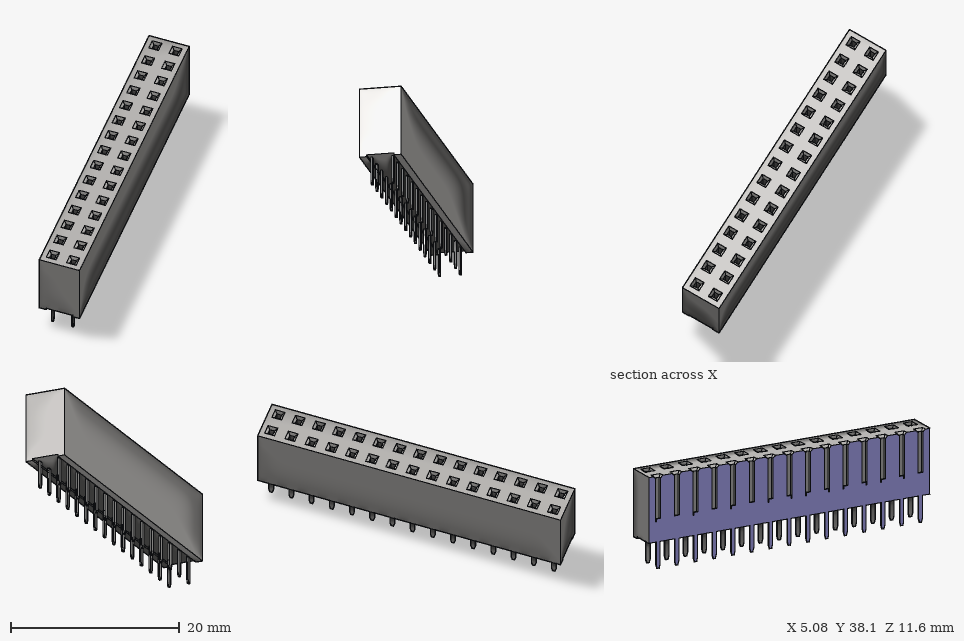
import cadquery as cq

ROWS = 15
COLUMNS = 2
LENGTH = 38.1
PITCH = LENGTH / ROWS

WIDTH = COLUMNS * PITCH
HOUSING_HEIGHT = 8.5
TOTAL_HEIGHT = 11.6

CHANNEL_WIDTH = 3.3
CHANNEL_DEPTH = 0.23

FUNNEL_MOUTH = 1.22
FUNNEL_DEPTH = 0.3
BORE_SIZE = 0.6
BORE_DEPTH = 5.7

PIN_THICKNESS = 0.2
PIN_WIDTH = 0.57
PIN_TIP_WIDTH = 0.3
PIN_TIP_LENGTH = 0.45
PIN_RISE_IN_BORE = 0.4


def make_housing():
    body = cq.Workplane("XY").rect(WIDTH, LENGTH).extrude(-HOUSING_HEIGHT)
    channel = (
        cq.Workplane("XY")
        .workplane(offset=-HOUSING_HEIGHT)
        .rect(CHANNEL_WIDTH, LENGTH)
        .extrude(CHANNEL_DEPTH)
    )
    return body.cut(channel)


def make_socket():
    funnel = (
        cq.Workplane("XY")
        .rect(FUNNEL_MOUTH, FUNNEL_MOUTH)
        .workplane(offset=-FUNNEL_DEPTH)
        .rect(BORE_SIZE, BORE_SIZE)
        .loft()
    )
    bore = cq.Workplane("XY").rect(BORE_SIZE, BORE_SIZE).extrude(-BORE_DEPTH)
    return funnel.union(bore)


def make_pin():
    half_width = PIN_WIDTH / 2
    half_tip = PIN_TIP_WIDTH / 2
    top_z = PIN_RISE_IN_BORE - BORE_DEPTH
    shoulder_z = PIN_TIP_LENGTH - TOTAL_HEIGHT
    outline = [
        (-half_width, top_z),
        (half_width, top_z),
        (half_width, shoulder_z),
        (half_tip, -TOTAL_HEIGHT),
        (-half_tip, -TOTAL_HEIGHT),
        (-half_width, shoulder_z),
    ]
    return cq.Workplane("YZ").polyline(outline).close().extrude(PIN_THICKNESS / 2, both=True)


def repeat_on_grid(shape):
    grid = cq.Workplane("XY").rarray(PITCH, PITCH, COLUMNS, ROWS)
    return grid.eachpoint(lambda location: shape.val().moved(location))


sockets = repeat_on_grid(make_socket())
pins = repeat_on_grid(make_pin())
result = make_housing().cut(sockets).union(pins)